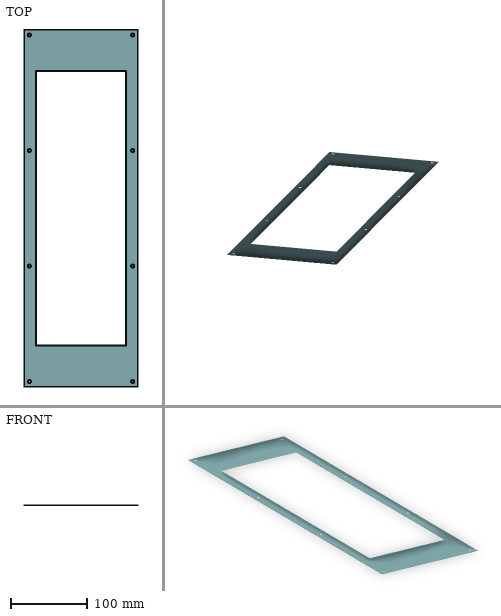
import cadquery as cq

width = 150.0
length = 470
thickness = 0.4

window_width = 118.0
window_length = 361.0

hole_diameter = 3.7
edge_margin = 7.0
holes_per_side = 4
column_spacing = width - 2 * edge_margin
row_spacing = (length - 2 * edge_margin) / (holes_per_side - 1)

plate = cq.Workplane("XY").box(width, length, thickness)

window = cq.Workplane("XY").box(window_width, window_length, 2 * thickness)

holes = (
    cq.Workplane("XY")
    .rarray(column_spacing, row_spacing, 2, holes_per_side)
    .circle(hole_diameter / 2)
    .extrude(thickness, both=True)
)

result = plate.cut(window).cut(holes)